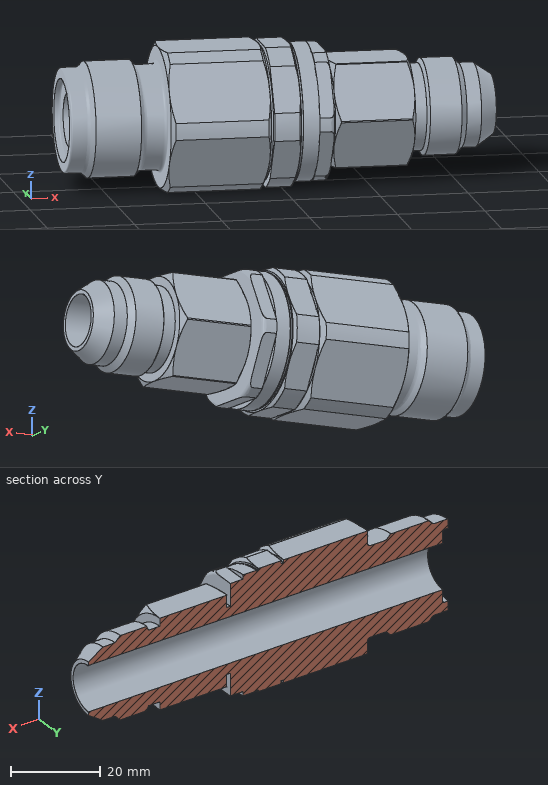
import cadquery as cq
import math

total_length = 98.0
bore_diameter = 12.0
hex_chamfer_angle = 30.0

seal_bore_diameter = 18.8
seal_bore_depth = 1.5
seal_bore_fillet = 0.4
port_root_diameter = 23.9
port_thread_diameter = 26.4
port_thread_start = 4.1
port_thread_end = 16.9
port_relief_fillet = 1.0
port_end_fillet = 0.4
port_shoulder_fillet = 0.8

body_start = 21.9
body_end = 44.9
body_flats = 32.0
body_corner_diameter = 35.0
nut_start = 45.5
nut_end = 51.7
nut_corner_diameter = 33.9
nut_neck_diameter = 30.6
collar_start = 52.2
collar_end = 55.9
collar_diameter = 31.5
collar_neck_diameter = 31.2
lock_end = 59.4
lock_flats = 29.3
lock_corner_diameter = 32.1
lock_end_fillet = 0.9
lock_neck_diameter = 17.5

swivel_start = 60.3
swivel_end = 78.6
swivel_flats = 23.9
swivel_corner_diameter = 27.4
tube_neck_diameter = 19.8
tube_thread_start = 81.5
tube_thread_end = 90.7
tube_thread_diameter = 22.0
tube_thread_lead = 0.6
tube_nose_diameter = 19.2
flare_start = 94.1
flare_end_diameter = 13.9


def turned(stations):
    """Solid of revolution about X from (x, diameter) stations, closed along the axis."""
    first_x = stations[0][0]
    last_x = stations[-1][0]
    skin = [(x, diameter / 2) for x, diameter in stations]
    outline = [(first_x, 0)] + skin + [(last_x, 0)]
    return cq.Workplane("XY").polyline(outline).close().revolve(360, (0, 0, 0), (1, 0, 0))


def cylinder(start, end, diameter):
    return turned([(start, diameter), (end, diameter)])


def hexagonal_bar(start, end, flats):
    """Sharp-cornered hexagonal bar along X with flats facing +Z and -Z."""
    corner_to_corner = flats / math.cos(math.pi / 6)
    return cq.Workplane("YZ").workplane(offset=start).polygon(6, corner_to_corner).extrude(end - start)


def chamfered_hexagon(start, end, flats, corner_diameter, chamfer_start=True):
    """Hexagon with turned corners, chamfered down to the flats at its end and optionally its start."""
    chamfer_depth = (corner_diameter - flats) / 2
    chamfer_length = chamfer_depth * math.tan(math.radians(hex_chamfer_angle))
    stations = [(end - chamfer_length, corner_diameter), (end, flats)]
    if chamfer_start:
        stations = [(start, flats), (start + chamfer_length, corner_diameter)] + stations
    else:
        stations = [(start, corner_diameter)] + stations
    return hexagonal_bar(start, end, flats).intersect(turned(stations))


def rounded_hexagon(start, end, flats, corner_diameter, end_fillet):
    """Hexagon with turned corners that are rounded over at its end."""
    envelope = cylinder(start, end, corner_diameter).faces(">X").edges().fillet(end_fillet)
    return hexagonal_bar(start, end, flats).intersect(envelope)


def circle_edges(solid, x, diameter):
    """Selects the circular edge of the given diameter around the axis at x."""
    margin = 0.01

    def box(half_width):
        low = (x - margin, -half_width, -half_width)
        high = (x + margin, half_width, half_width)
        return cq.selectors.BoxSelector(low, high, boundingbox=True)

    return solid.edges(box(diameter / 2 + margin) - box(diameter / 2 - margin))


def threaded_port():
    """Large threaded end with relief grooves on both sides of the thread."""
    thread_height = (port_thread_diameter - port_root_diameter) / 2
    port = turned([
        (0, port_root_diameter),
        (port_thread_start, port_root_diameter),
        (port_thread_start + thread_height, port_thread_diameter),
        (port_thread_end - thread_height, port_thread_diameter),
        (port_thread_end, port_root_diameter),
        (body_start, port_root_diameter),
    ])
    for x in (port_thread_start, port_thread_end):
        port = circle_edges(port, x, port_root_diameter).fillet(port_relief_fillet)
    return circle_edges(port, 0, port_root_diameter).fillet(port_end_fillet)


def tube_end():
    """Neck, thread and flared nose of the small end."""
    thread_runout = (tube_thread_diameter - tube_nose_diameter) / 2
    return turned([
        (swivel_end, tube_neck_diameter),
        (tube_thread_start, tube_neck_diameter),
        (tube_thread_start + tube_thread_lead, tube_thread_diameter),
        (tube_thread_end - thread_runout, tube_thread_diameter),
        (tube_thread_end, tube_nose_diameter),
        (flare_start, tube_nose_diameter),
        (total_length, flare_end_diameter),
    ])


body = threaded_port().union(chamfered_hexagon(body_start, body_end, body_flats, body_corner_diameter))
body = circle_edges(body, body_start, port_root_diameter).fillet(port_shoulder_fillet)

sections = [
    cylinder(body_end, nut_start, nut_neck_diameter),
    chamfered_hexagon(nut_start, nut_end, body_flats, nut_corner_diameter, chamfer_start=False),
    cylinder(nut_end, collar_start, collar_neck_diameter),
    cylinder(collar_start, collar_end, collar_diameter),
    rounded_hexagon(collar_end, lock_end, lock_flats, lock_corner_diameter, lock_end_fillet),
    cylinder(lock_end, swivel_start, lock_neck_diameter),
    chamfered_hexagon(swivel_start, swivel_end, swivel_flats, swivel_corner_diameter),
    tube_end(),
]
for section in sections:
    body = body.union(section)

seal_bore = cylinder(0, seal_bore_depth, seal_bore_diameter).faces(">X").edges().fillet(seal_bore_fillet)
through_bore = cylinder(0, total_length, bore_diameter)
result = body.cut(seal_bore).cut(through_bore)